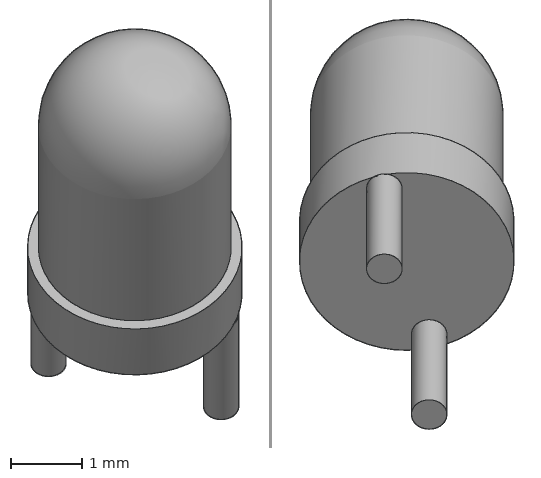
import cadquery as cq

total_height = 7.0

lead_length = 2.0
lead_diameter = 0.5
lead_pitch = 2.54

flange_diameter = 3.0
flange_height = 1.0
dome_radius = 1.35

flange_top = lead_length + flange_height
dome_base = total_height - dome_radius


def make_housing():
    """Flange, cylindrical barrel and hemispherical dome, revolved about Z."""
    arc_offset = dome_radius * 0.5**0.5
    return (
        cq.Workplane("XZ")
        .moveTo(0, lead_length)
        .lineTo(flange_diameter / 2, lead_length)
        .lineTo(flange_diameter / 2, flange_top)
        .lineTo(dome_radius, flange_top)
        .lineTo(dome_radius, dome_base)
        .threePointArc((arc_offset, dome_base + arc_offset), (0, total_height))
        .close()
        .revolve(360, (0, 0, 0), (0, 1, 0))
    )


def make_lead(x):
    """Round lead that ends against the underside of the flange."""
    return cq.Workplane("XY").center(x, 0).circle(lead_diameter / 2).extrude(lead_length)


housing = make_housing()
leads = [make_lead(side * lead_pitch / 2) for side in (-1, 1)]

result = cq.Compound.makeCompound([housing.val(), *[lead.val() for lead in leads]])